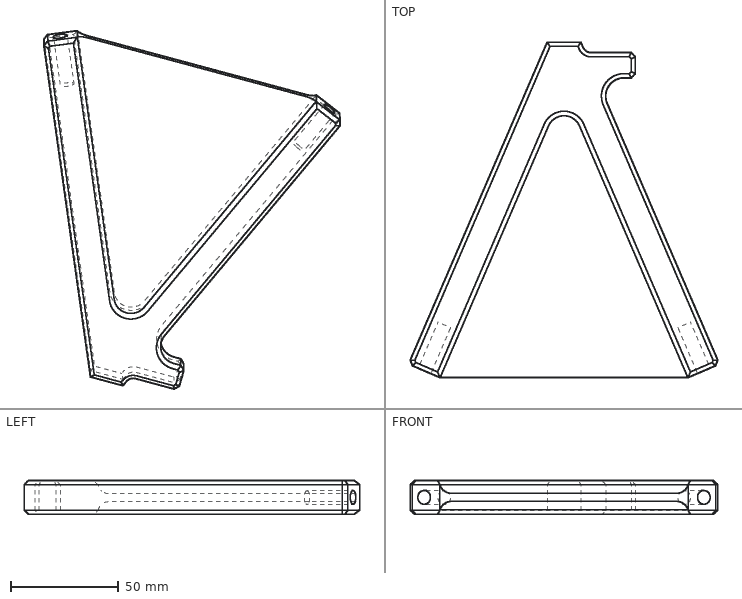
import cadquery as cq
import math

LENGTH = 156.3
WIDTH = 143.3
THICKNESS = 16.0

LEG_ANGLE = math.radians(23.3)
LEG_WIDTH = THICKNESS
CHAMFER = 2.0

WEB_THICKNESS = 3.8
WEB_FILLET = 5.0
BEVEL_DEPTH = 2.5
POCKET_RADIUS = 8.0

LUG_RIGHT = 33.3
LUG_TOP = 151.5
LUG_BOTTOM = 139.6
LUG_TOP_FILLET = 4.0
LUG_BOTTOM_FILLET = 8.5

HOLE_DIAMETER = 6.4
HOLE_DEPTH = 23.5

SIN, COS, TAN = math.sin(LEG_ANGLE), math.cos(LEG_ANGLE), math.tan(LEG_ANGLE)

outer_x = WIDTH / 2 + CHAMFER * SIN
outer_y = LEG_WIDTH * SIN
inner_x = outer_x - LEG_WIDTH * COS
apex_y = inner_x / TAN


def leg_outer_x(y):
    """X of the right leg's outer side at height y."""
    return outer_x - (y - outer_y) * TAN


def vertical_edge(x, y):
    """Selector for the upright edge through (x, y)."""
    return cq.selectors.NearestToPointSelector((x, y, 0))


def slab(points, height):
    """Polygon extruded symmetrically about Z = 0."""
    return cq.Workplane("XY").polyline(points).close().extrude(height / 2, both=True)


def make_frame():
    """Legs, head and lug, chamfered along both faces."""
    outline = [
        (-inner_x, 0),
        (-outer_x, outer_y),
        (-leg_outer_x(LENGTH), LENGTH),
        (leg_outer_x(LENGTH), LENGTH),
        (leg_outer_x(LUG_TOP), LUG_TOP),
        (LUG_RIGHT, LUG_TOP),
        (LUG_RIGHT, LUG_BOTTOM),
        (leg_outer_x(LUG_BOTTOM), LUG_BOTTOM),
        (outer_x, outer_y),
        (inner_x, 0),
        (0, apex_y),
    ]
    frame = slab(outline, THICKNESS)
    fillets = [
        (leg_outer_x(LUG_TOP), LUG_TOP, LUG_TOP_FILLET),
        (leg_outer_x(LUG_BOTTOM), LUG_BOTTOM, LUG_BOTTOM_FILLET),
        (0, apex_y, POCKET_RADIUS),
    ]
    for x, y, radius in fillets:
        frame = frame.edges("|Z").edges(vertical_edge(x, y)).fillet(radius)
    sharp_corners = [
        (-outer_x, outer_y),
        (outer_x, outer_y),
        (LUG_RIGHT, LUG_TOP),
        (LUG_RIGHT, LUG_BOTTOM),
    ]
    for x, y in sharp_corners:
        frame = frame.edges("|Z").edges(vertical_edge(x, y)).chamfer(CHAMFER)
    return frame.faces("|Z").edges().chamfer(CHAMFER)


def pocket_block(y_min, height, outset=0.0):
    """Rounded triangle between the legs, from y_min up to the apex, with its sides moved out by outset."""
    tip_y = apex_y + outset / SIN
    base_x = (tip_y - y_min) * TAN
    block = slab([(-base_x, y_min), (base_x, y_min), (0, tip_y)], height)
    return block.edges("|Z").edges(vertical_edge(0, tip_y)).fillet(POCKET_RADIUS + outset)


def make_web():
    """Web with concave fillets running up to the chamfers of the leg walls on both faces."""
    web = pocket_block(0, THICKNESS)
    cutter_start = -4 * WEB_FILLET
    cavity = pocket_block(cutter_start, THICKNESS).faces("<Z").edges().fillet(WEB_FILLET)
    cavity = cavity.translate((0, 0, (THICKNESS + WEB_THICKNESS) / 2))
    bevel = pocket_block(cutter_start, THICKNESS, CHAMFER).faces("<Z").edges().chamfer(BEVEL_DEPTH)
    bevel = bevel.translate((0, 0, THICKNESS - BEVEL_DEPTH))
    for cutter in (cavity, bevel):
        web = web.cut(cutter).cut(cutter.mirror("XY"))
    return web


def leg_hole(side):
    """Hole along a leg, centred on its end face; side is -1 or 1."""
    centre = (side * (inner_x + outer_x) / 2, outer_y / 2, 0)
    direction = (-side * SIN, COS, 0)
    return cq.Solid.makeCylinder(HOLE_DIAMETER / 2, HOLE_DEPTH, cq.Vector(*centre), cq.Vector(*direction))


result = make_frame().union(make_web())
for leg_side in (-1, 1):
    result = result.cut(leg_hole(leg_side))